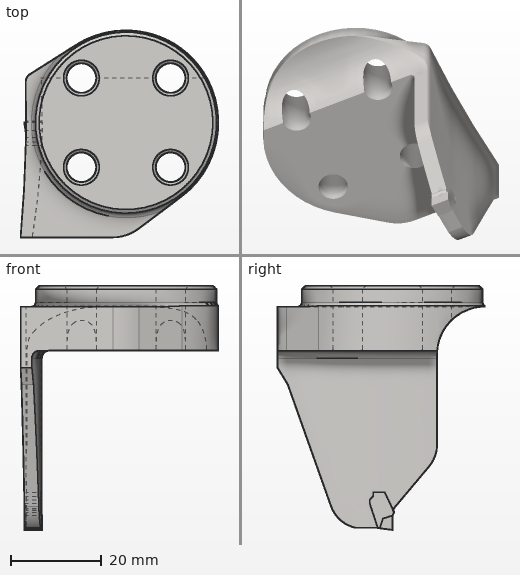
import cadquery as cq
import math


disc_radius = 40.0 / 2
disc_chamfer = 0.8
disc_wall_bottom = -3.65
collar_radius = 0.95
hole_diameter = 6.5
countersink_diameter = 7.9
hole_pitch = 19.7

body_top = disc_wall_bottom - collar_radius
body_bottom = -14.35
body_radius = 20.4
front_y = -25.4
corner_x = 0.2
front_corner_radius = 9.55
back_corner_radius = 2.0
back_relief_radius = 10.5

face_apex_y = 1.5
outer_apex_x = -22.1
outer_face_radius = 291.6
inner_apex_x = -18.6
inner_face_radius = 163.6
outer_flat_y = -24.95
blade_back_y = body_radius - back_relief_radius
back_corner_rise = 0.15
back_relief_z = body_top - back_relief_radius
root_fillet = 1.6
blade_bottom = -53.5

front_step = (front_y, -18.1)
front_curve_middle = (-24.15, -20.05)
front_slope_top = (-23.1, -21.8)
nose_start = (-13.55, -48.7)
nose_end = (-8.1, blade_bottom)
seat_bottom = (-2.7, blade_bottom)
seat_middle = (-1.1, -50.75)
seat_top = (0.3, -49.45)
back_slope_bottom = (0.45, -49.15)
back_slope_top = (8.1, -40.0)
back_curve_top = (blade_back_y, -35.35)

insert_outline = [
    (-1.7, -45.65), (-4.2, -45.65), (-4.2, -46.5), (-4.95, -47.3), (-4.95, -48.1),
    (-3.2, -53.55), (0.1, -54), (0.1, -50.75), (0.45, -50.05),
]
head_outline = [(0.1, -50.75), (-2.05, -51.45), (-2.75, -53.6), (0.1, -54)]
edge_overhang_outer = 0.45
edge_overhang_inner = 0.1

reach = 54
zone_half_length = 32.4
countersink_angle = 90


def face_x(apex_x, radius, y):
    """X of a blade face arc, which bows toward +X, at a given Y."""
    return apex_x - radius + math.sqrt(radius ** 2 - (y - face_apex_y) ** 2)


def prism_along_z(sketch, bottom, top):
    return sketch.extrude(top - bottom).translate((0, 0, bottom))


def prism_along_x(outline, x_start, x_end):
    plane = cq.Workplane("YZ").workplane(offset=x_start)
    return plane.polyline(outline).close().extrude(x_end - x_start)


def body_prism(bottom, top):
    """Plan outline: disc-side arc, two tangent flanks, front face and outer blade face."""
    corner_distance = math.hypot(corner_x, front_y)
    flank_angle = math.atan2(front_y, corner_x) + math.acos(body_radius / corner_distance)
    front_tangent = (body_radius * math.cos(flank_angle), body_radius * math.sin(flank_angle))

    back_y = blade_back_y + back_corner_rise
    back_corner = (face_x(outer_apex_x, outer_face_radius, back_y), back_y)
    back_distance = math.hypot(*back_corner)
    back_angle = math.atan2(back_corner[1], back_corner[0]) - math.acos(body_radius / back_distance)
    back_tangent = (body_radius * math.cos(back_angle), body_radius * math.sin(back_angle))

    middle_angle = (flank_angle + back_angle) / 2
    arc_middle = (body_radius * math.cos(middle_angle), body_radius * math.sin(middle_angle))
    flat_x = face_x(outer_apex_x, outer_face_radius, outer_flat_y)
    sketch = (
        cq.Workplane("XY")
        .moveTo(flat_x, front_y)
        .lineTo(corner_x, front_y)
        .lineTo(*front_tangent)
        .threePointArc(arc_middle, back_tangent)
        .lineTo(*back_corner)
        .threePointArc((outer_apex_x, face_apex_y), (flat_x, outer_flat_y))
        .close()
    )
    prism = prism_along_z(sketch, bottom, top)
    middle_z = (bottom + top) / 2
    front_edge = cq.selectors.NearestToPointSelector((corner_x, front_y, middle_z))
    back_edge = cq.selectors.NearestToPointSelector((*back_corner, middle_z))
    prism = prism.edges(front_edge).fillet(front_corner_radius)
    return prism.edges(back_edge).fillet(back_corner_radius)


def blade_zone():
    """Everything on the -X side of the inner blade face."""
    end_y = zone_half_length
    end_x = face_x(inner_apex_x, inner_face_radius, end_y)
    start_x = face_x(inner_apex_x, inner_face_radius, -end_y)
    sketch = (
        cq.Workplane("XY")
        .moveTo(-reach, -end_y)
        .lineTo(start_x, -end_y)
        .threePointArc((inner_apex_x, face_apex_y), (end_x, end_y))
        .lineTo(-reach, end_y)
        .close()
    )
    return prism_along_z(sketch, blade_bottom, body_top)


def side_envelope():
    """Side outline of body and blade, running through along X."""
    diagonal = back_relief_radius * math.sqrt(0.5)
    return (
        cq.Workplane("YZ")
        .workplane(offset=-reach)
        .moveTo(front_y, body_top)
        .lineTo(*front_step)
        .threePointArc(front_curve_middle, front_slope_top)
        .lineTo(*nose_start)
        .tangentArcPoint(nose_end, relative=False)
        .lineTo(*seat_bottom)
        .lineTo(*seat_middle)
        .lineTo(*seat_top)
        .lineTo(*back_slope_bottom)
        .lineTo(*back_slope_top)
        .tangentArcPoint(back_curve_top, relative=False)
        .lineTo(blade_back_y, back_relief_z)
        .threePointArc(
            (body_radius - diagonal, back_relief_z + diagonal),
            (body_radius, body_top),
        )
        .close()
        .extrude(2 * reach)
    )


def make_disc():
    """Chamfered disc with the concave collar at its foot."""
    foot_radius = disc_radius + collar_radius
    diagonal = collar_radius * math.sqrt(0.5)
    disc = (
        cq.Workplane("XZ")
        .moveTo(0, body_top)
        .lineTo(foot_radius, body_top)
        .threePointArc(
            (foot_radius - diagonal, disc_wall_bottom - diagonal),
            (disc_radius, disc_wall_bottom),
        )
        .lineTo(disc_radius, -disc_chamfer)
        .lineTo(disc_radius - disc_chamfer, 0)
        .lineTo(0, 0)
        .close()
        .revolve(360, (0, 0, 0), (0, 1, 0))
    )
    above_collar = cq.Workplane("XY").workplane(offset=disc_wall_bottom).circle(reach).extrude(reach)
    return disc.intersect(body_prism(body_top, disc_wall_bottom).union(above_collar))


def make_holder():
    body = body_prism(body_bottom, body_top)
    blade = body_prism(blade_bottom, body_top).intersect(blade_zone())
    holder = body.union(blade)
    root_edge = cq.selectors.NearestToPointSelector((inner_apex_x, 0, body_bottom))
    holder = holder.edges(root_edge).fillet(root_fillet)
    holder = holder.intersect(side_envelope()).union(make_disc())
    holder = (
        holder.faces(">Z")
        .workplane(origin=(0, 0, 0))
        .rect(hole_pitch, hole_pitch, forConstruction=True)
        .vertices()
        .cskHole(hole_diameter, countersink_diameter, countersink_angle, depth=-body_bottom)
    )
    return holder.cut(prism_along_x(insert_outline, -reach, 0))


def make_insert():
    """Shank that fills the seat, with a head that widens toward the cutting edge."""
    edge_y = head_outline[0][0]
    heel_y = head_outline[2][0]
    taper_plan = [
        (outer_apex_x - edge_overhang_outer, edge_y),
        (inner_apex_x + edge_overhang_inner, edge_y),
        (inner_apex_x, heel_y),
        (outer_apex_x, heel_y),
    ]
    taper = prism_along_z(cq.Workplane("XY").polyline(taper_plan).close(), -reach, 0)
    head = prism_along_x(head_outline, -reach, 0).intersect(taper)
    shank = prism_along_x(insert_outline, outer_apex_x, inner_apex_x)
    return shank.union(head)


holder = make_holder()
insert = make_insert()
result = cq.Compound.makeCompound([holder.solids().val(), insert.solids().val()])